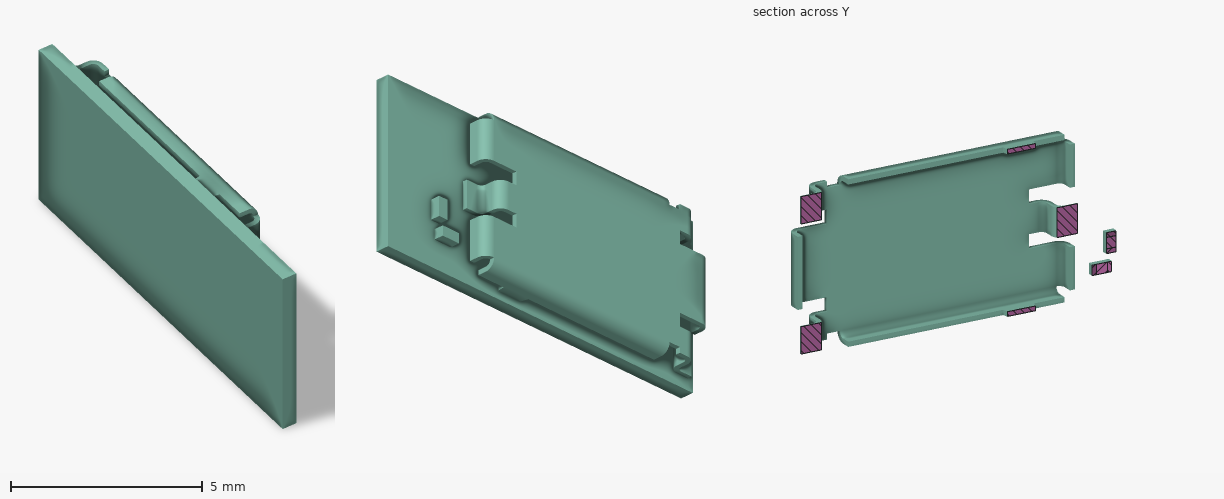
import cadquery as cq
import math

BOARD_LENGTH = 11.3
BOARD_HEIGHT = 5.1
BOARD_THICKNESS = 0.43
OVERALL_DEPTH = 1.3
MID_Z = BOARD_HEIGHT / 2

SHEET = 0.15
BEND_OUTER = 0.3
BEND_INNER = BEND_OUTER - SHEET
COVER_LEFT = 0.23
COVER_RIGHT = 8.55
COVER_MID_X = (COVER_LEFT + COVER_RIGHT) / 2
RIM_GAP = 0.29
FOOT_GAP = 0.02
TAB_GAP = 0.06
COVER_BACK = OVERALL_DEPTH
COVER_INNER = COVER_BACK - SHEET
BEND_END = COVER_BACK - BEND_OUTER
RIM_Y = BOARD_THICKNESS + RIM_GAP
FOOT_Y = BOARD_THICKNESS + FOOT_GAP
TAB_TIP_Y = BOARD_THICKNESS + TAB_GAP

WALL_INSET = 0.2
WALL_LEFT = 1.74
WALL_RIGHT = COVER_RIGHT - BEND_OUTER
FLAT_BOTTOM = WALL_INSET + BEND_OUTER
FLAT_TOP = BOARD_HEIGHT - FLAT_BOTTOM
TAB_CENTRE_X = 6.86
TAB_ROOT_WIDTH = 0.92
TAB_TIP_WIDTH = 0.82

FOOT_LENGTH = 0.38
LEG_WEB = FOOT_LENGTH + BEND_OUTER
SLOT_DEPTH = 1.13
SLOT_WIDTH = 0.41
CORNER_LEG_INSET = 0.34
CORNER_LEG_WIDTH = 0.78
CENTRE_LEG_WIDTH = 0.85

CHIP_CAP = 0.15
CHIP_CORE = 0.3
CHIP_WIDTH = 0.3
CHIP_HEIGHT = 0.3
UPRIGHT_CHIP_X, UPRIGHT_CHIP_Z = 9.41, 1.39
FLAT_CHIP_X, FLAT_CHIP_Z = 8.98, 0.86

COS_45 = math.sqrt(0.5)


def box(x0, x1, y0, y1, z0, z1):
    return cq.Workplane("XY").box(x1 - x0, y1 - y0, z1 - z0, centered=False).translate((x0, y0, z0))


def arc_middle(centre_u, centre_v, radius, side_u, side_v):
    """Middle point of a quarter arc lying on the given diagonal side of its centre."""
    return centre_u + side_u * radius * COS_45, centre_v + side_v * radius * COS_45


def make_board():
    return box(0, BOARD_LENGTH, 0, BOARD_THICKNESS, 0, BOARD_HEIGHT)


def end_strip(profile, z0, z1):
    """Left-end strip cut from a closed XY profile between two heights."""
    return profile.close().extrude(z1 - z0).translate((0, 0, z0))


def hook(z0, z1):
    """Left-end strip bent once towards the board."""
    outer = COVER_LEFT
    bend_x = outer + BEND_OUTER
    slot_x = outer + SLOT_DEPTH
    profile = (
        cq.Workplane("XY")
        .moveTo(slot_x, COVER_BACK)
        .lineTo(bend_x, COVER_BACK)
        .threePointArc(arc_middle(bend_x, BEND_END, BEND_OUTER, -1, 1), (outer, BEND_END))
        .lineTo(outer, RIM_Y)
        .lineTo(outer + SHEET, RIM_Y)
        .lineTo(outer + SHEET, BEND_END)
        .threePointArc(arc_middle(bend_x, BEND_END, BEND_INNER, -1, 1), (bend_x, COVER_INNER))
        .lineTo(slot_x, COVER_INNER)
    )
    return end_strip(profile, z0, z1)


def leg(z0, z1):
    """Left-end strip bent down to the board and outwards again into a foot."""
    foot_end = COVER_LEFT
    foot_bend_x = foot_end + FOOT_LENGTH
    foot_bend_y = FOOT_Y + BEND_OUTER
    web_inward = foot_end + LEG_WEB
    web_outward = web_inward - SHEET
    top_bend_x = web_outward + BEND_OUTER
    slot_x = foot_end + SLOT_DEPTH
    profile = (
        cq.Workplane("XY")
        .moveTo(slot_x, COVER_BACK)
        .lineTo(top_bend_x, COVER_BACK)
        .threePointArc(arc_middle(top_bend_x, BEND_END, BEND_OUTER, -1, 1), (web_outward, BEND_END))
        .lineTo(web_outward, foot_bend_y)
        .threePointArc(
            arc_middle(foot_bend_x, foot_bend_y, BEND_INNER, 1, -1), (foot_bend_x, FOOT_Y + SHEET)
        )
        .lineTo(foot_end, FOOT_Y + SHEET)
        .lineTo(foot_end, FOOT_Y)
        .lineTo(foot_bend_x, FOOT_Y)
        .threePointArc(
            arc_middle(foot_bend_x, foot_bend_y, BEND_OUTER, 1, -1), (web_inward, foot_bend_y)
        )
        .lineTo(web_inward, BEND_END)
        .threePointArc(arc_middle(top_bend_x, BEND_END, BEND_INNER, -1, 1), (top_bend_x, COVER_INNER))
        .lineTo(slot_x, COVER_INNER)
    )
    return end_strip(profile, z0, z1)


def mirror_to_right(strip):
    return strip.mirror("YZ", (COVER_MID_X, 0, 0))


def mirror_to_top(part):
    return part.mirror("XY", (0, 0, MID_Z))


def bottom_wall():
    """Side wall along the bottom edge, bent from the flat sheet and carrying a tapered tab."""
    wall_outer = WALL_INSET
    bent_wall = (
        cq.Workplane("YZ")
        .moveTo(COVER_BACK, FLAT_BOTTOM)
        .threePointArc(
            arc_middle(BEND_END, FLAT_BOTTOM, BEND_OUTER, 1, -1), (BEND_END, wall_outer)
        )
        .lineTo(RIM_Y, wall_outer)
        .lineTo(RIM_Y, wall_outer + SHEET)
        .lineTo(BEND_END, wall_outer + SHEET)
        .threePointArc(
            arc_middle(BEND_END, FLAT_BOTTOM, BEND_INNER, 1, -1), (COVER_INNER, FLAT_BOTTOM)
        )
        .close()
        .extrude(WALL_RIGHT - WALL_LEFT)
        .translate((WALL_LEFT, 0, 0))
    )
    tab = (
        cq.Workplane("XY")
        .polyline([
            (TAB_CENTRE_X - TAB_ROOT_WIDTH / 2, RIM_Y),
            (TAB_CENTRE_X - TAB_TIP_WIDTH / 2, TAB_TIP_Y),
            (TAB_CENTRE_X + TAB_TIP_WIDTH / 2, TAB_TIP_Y),
            (TAB_CENTRE_X + TAB_ROOT_WIDTH / 2, RIM_Y),
        ])
        .close()
        .extrude(SHEET)
        .translate((0, 0, wall_outer))
    )
    return bent_wall.union(tab)


def make_cover():
    slot_left = COVER_LEFT + SLOT_DEPTH
    slot_right = COVER_RIGHT - SLOT_DEPTH
    cover = box(slot_left, slot_right, COVER_INNER, COVER_BACK, FLAT_BOTTOM, FLAT_TOP)

    corner_leg_end = CORNER_LEG_INSET + CORNER_LEG_WIDTH
    corner_leg = leg(CORNER_LEG_INSET, corner_leg_end)
    hook_bottom = corner_leg_end + SLOT_WIDTH
    wide_hook = hook(hook_bottom, BOARD_HEIGHT - hook_bottom)

    centre_leg_bottom = MID_Z - CENTRE_LEG_WIDTH / 2
    centre_leg = mirror_to_right(leg(centre_leg_bottom, centre_leg_bottom + CENTRE_LEG_WIDTH))
    side_hook = mirror_to_right(hook(FLAT_BOTTOM, centre_leg_bottom - SLOT_WIDTH))

    for single in (wide_hook, centre_leg):
        cover = cover.union(single)
    for paired in (corner_leg, side_hook, bottom_wall()):
        cover = cover.union(paired).union(mirror_to_top(paired))
    return cover


def chip_piece(start, length):
    """Slice of a chip lying along X, seated on the board with its corner at X = Z = 0."""
    seat = BOARD_THICKNESS
    return box(start, start + length, seat, seat + CHIP_HEIGHT, 0, CHIP_WIDTH)


def chip_caps():
    return [chip_piece(start, CHIP_CAP) for start in (0, CHIP_CAP + CHIP_CORE)]


def chip_core():
    return chip_piece(CHIP_CAP, CHIP_CORE)


def stand_upright(piece):
    """Turn a piece lying along X to run along +Z, its corner still at X = Z = 0."""
    return piece.rotate((0, 0, 0), (0, 1, 0), -90).translate((CHIP_WIDTH, 0, 0))


board = make_board()
cover = make_cover()

flat_chip_place = (FLAT_CHIP_X, 0, FLAT_CHIP_Z)
upright_chip_place = (UPRIGHT_CHIP_X, 0, UPRIGHT_CHIP_Z)
caps = [cap.translate(flat_chip_place) for cap in chip_caps()]
caps += [stand_upright(cap).translate(upright_chip_place) for cap in chip_caps()]
cores = [
    chip_core().translate(flat_chip_place),
    stand_upright(chip_core()).translate(upright_chip_place),
]

result = cq.Compound.makeCompound([
    board.val(),
    cover.val(),
    *[cap.val() for cap in caps],
    *[core.val() for core in cores],
])